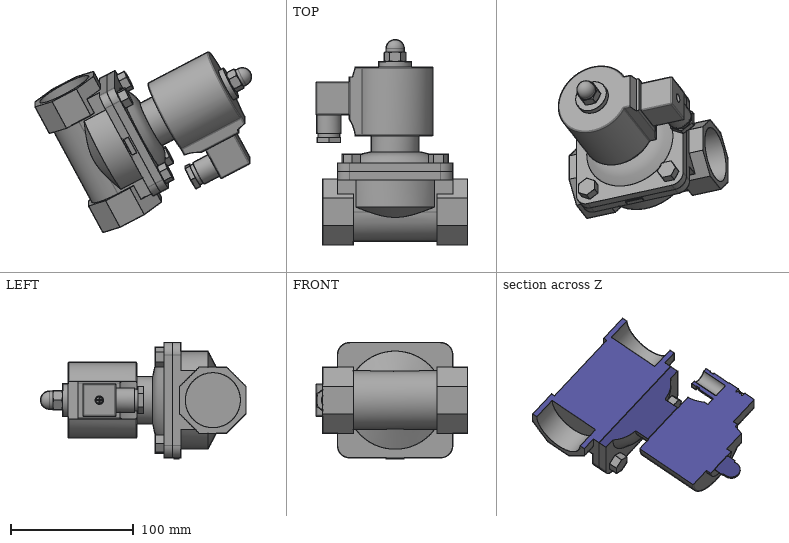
import cadquery as cq
import math


PORT_HALF_LENGTH = 59
PORT_LENGTH = 25
PORT_SIDES = 8
PORT_ACROSS_FLATS = 54
BORE_DIAMETER = 44.84
BORE_DEPTH = 20
PIPE_RADIUS = 24
FLANGE_SIDE = 94
FLANGE_CORNER_RADIUS = 10
FLANGE_THICKNESS = 7
FLANGE_BOTTOM_Y = 26
SHOULDER_BOTTOM_Y = 14.5
BOWL_RADIUS = 40
BOWL_EDGE_Y = 4
BOWL_CONE_HEIGHT = 20.75
LABEL_LENGTH = 14.6
LABEL_WIDTH = 4.2
LABEL_HEIGHT = 1

BONNET_BOTTOM_Y = FLANGE_BOTTOM_Y + FLANGE_THICKNESS
BONNET_TOP_Y = BONNET_BOTTOM_Y + FLANGE_THICKNESS
NECK_RADIUS = 19.5
DOME_HEIGHT = 9
DOME_RADIUS = 38
DOME_ROUND = 28.7

BOLT_ACROSS_CORNERS = 16.2
BOLT_HEAD_HEIGHT = 7
BOLT_OFFSET = 35.2
BOLT_COUNT = 4

COIL_BOTTOM_Y = 62
COIL_LENGTH = 56
COIL_TOP_Y = COIL_BOTTOM_Y + COIL_LENGTH
COIL_RADIUS = 31
COIL_EDGE_ROUND = 1
COIL_COLLAR_DIAMETER = 27
COIL_COLLAR_HEIGHT = 4.45

BLOCK_HALF_WIDTH = 15.2
BLOCK_END_X = -32.5
BLOCK_JOINT_ROUND = 1
SEAT_X = -37.4
SEAT_TOP_Y = 110
SEAT_TOP_ROOT_X = -34.8
SEAT_BOTTOM_Y = 75.6
SEAT_EDGE_ROUND = 1.2
COVE_MIDDLE = (-33.8, 68)

CONNECTOR_END_X = -64.5
CONNECTOR_BOTTOM_Y = 79
CONNECTOR_LENGTH = 27
CONNECTOR_WIDTH = 26.5
CONNECTOR_EDGE_ROUND = 1
SCREW_HOLE_DIAMETER = 6.8
SCREW_HOLE_DEPTH = 3.2
SCREW_HEAD_DIAMETER = 5.5
SCREW_HEAD_HEIGHT = 1.6
SCREW_SLOT_LENGTH = 3.6
SCREW_SLOT_WIDTH = 0.8
SCREW_SLOT_DEPTH = 0.9
SCREW_Y = CONNECTOR_BOTTOM_Y + CONNECTOR_LENGTH / 2

GLAND_X = -54
GLAND_DIAMETER = 20
GLAND_LENGTH = 15
GLAND_NECK_DIAMETER = 18
GLAND_NECK_LENGTH = 3.2
GLAND_HEX_ACROSS_FLATS = 19
GLAND_HEX_LENGTH = 4.4
GLAND_HOLE_DIAMETER = 12

NUT_ACROSS_CORNERS = 18
NUT_HEIGHT = 8
NUT_FACE_DIAMETER = 15.3
NUT_CHAMFER_ANGLE = 30
NUT_DOME_DIAMETER = 15
NUT_DOME_NECK = 2.5
NUT_BOTTOM_Y = COIL_TOP_Y + COIL_COLLAR_HEIGHT


def plane_at(y, x=0, z=0):
    """Workplane across the Y axis: local x is X and local y is Z; a negative extrusion goes up +Y."""
    return cq.Workplane("XZ", origin=(x, y, z))


def cylinder(diameter, bottom_y, height, x=0):
    return plane_at(bottom_y, x).circle(diameter / 2).extrude(-height)


def hexagon(across_corners, bottom_y, height, turn, x=0, z=0):
    """Hexagonal prism along Y; with turn = 0 two of its corners lie on the X direction."""
    prism = plane_at(bottom_y, x, z).polygon(6, across_corners).extrude(-height)
    return prism.rotate((x, 0, z), (x, 1, z), turn)


def square_flange(bottom_y):
    plate = plane_at(bottom_y).rect(FLANGE_SIDE, FLANGE_SIDE).extrude(-FLANGE_THICKNESS)
    return plate.edges("|Y").fillet(FLANGE_CORNER_RADIUS)


def block_between(x_size, bottom_y, top_y, z_size):
    return plane_at(bottom_y).rect(x_size, z_size).extrude(bottom_y - top_y)


def make_bowl():
    """Round diaphragm chamber under the flange, with a conical underside."""
    apex_y = BOWL_EDGE_Y - BOWL_CONE_HEIGHT
    profile = (
        cq.Workplane("XY")
        .moveTo(0, apex_y)
        .lineTo(BOWL_RADIUS, BOWL_EDGE_Y)
        .lineTo(BOWL_RADIUS, FLANGE_BOTTOM_Y)
        .lineTo(0, FLANGE_BOTTOM_Y)
        .close()
    )
    return profile.revolve(360, (0, 0, 0), (0, 1, 0))


def make_body():
    """Pipe body with octagonal threaded-port ends, diaphragm bowl and square flange."""
    port_across_corners = PORT_ACROSS_FLATS / math.cos(math.pi / PORT_SIDES)
    pipe = cq.Workplane("YZ").circle(PIPE_RADIUS).extrude(PORT_HALF_LENGTH, both=True)
    wall_length = 2 * (PORT_HALF_LENGTH - PORT_LENGTH)
    wall = block_between(wall_length, 0, FLANGE_BOTTOM_Y, 2 * PIPE_RADIUS)
    shoulder = block_between(FLANGE_SIDE, SHOULDER_BOTTOM_Y, FLANGE_BOTTOM_Y, 2 * PIPE_RADIUS)
    body = square_flange(FLANGE_BOTTOM_Y).union(pipe).union(wall).union(shoulder).union(make_bowl())
    for side in (-1, 1):
        end_plane = cq.Workplane("YZ", origin=(side * PORT_HALF_LENGTH, 0, 0))
        octagon = end_plane.polygon(PORT_SIDES, port_across_corners).extrude(-side * PORT_LENGTH)
        octagon = octagon.rotate((0, 0, 0), (1, 0, 0), 180 / PORT_SIDES)
        bore = end_plane.circle(BORE_DIAMETER / 2).extrude(-side * BORE_DEPTH)
        body = body.union(octagon).cut(bore)
    label = (
        plane_at(FLANGE_BOTTOM_Y + FLANGE_THICKNESS / 2 - LABEL_WIDTH / 2)
        .center(0, -(FLANGE_SIDE + LABEL_HEIGHT) / 2)
        .rect(LABEL_LENGTH, LABEL_HEIGHT)
        .extrude(-LABEL_WIDTH)
    )
    return body.union(label)


def make_bonnet():
    """Square cover with a rounded dome and the neck that carries the coil."""
    dome_top_y = BONNET_TOP_Y + DOME_HEIGHT
    dome = (
        cq.Workplane("XY")
        .moveTo(0, BONNET_TOP_Y)
        .lineTo(DOME_RADIUS, BONNET_TOP_Y)
        .radiusArc((NECK_RADIUS, dome_top_y), -DOME_ROUND)
        .lineTo(NECK_RADIUS, COIL_BOTTOM_Y)
        .lineTo(0, COIL_BOTTOM_Y)
        .close()
        .revolve(360, (0, 0, 0), (0, 1, 0))
    )
    return square_flange(BONNET_BOTTOM_Y).union(dome)


def make_bolt(index):
    """Hexagon head in one corner of the bonnet, turned with its position round the Y axis."""
    head = hexagon(BOLT_ACROSS_CORNERS, BONNET_TOP_Y, BOLT_HEAD_HEIGHT, 0, BOLT_OFFSET, BOLT_OFFSET)
    return head.rotate((0, 0, 0), (0, 1, 0), 360 / BOLT_COUNT * index)


def make_terminal_block():
    """Block on the coil's -X side, ending in a round-edged seat for the connector."""
    return (
        cq.Workplane("XY", origin=(0, 0, -BLOCK_HALF_WIDTH))
        .moveTo(0, COIL_BOTTOM_Y)
        .lineTo(BLOCK_END_X, COIL_BOTTOM_Y)
        .threePointArc(COVE_MIDDLE, (SEAT_X, SEAT_BOTTOM_Y))
        .lineTo(SEAT_X, SEAT_TOP_Y)
        .lineTo(SEAT_TOP_ROOT_X, SEAT_TOP_Y)
        .lineTo(BLOCK_END_X, COIL_TOP_Y)
        .lineTo(0, COIL_TOP_Y)
        .close()
        .extrude(2 * BLOCK_HALF_WIDTH)
    )


def make_coil_housing():
    drum = cylinder(2 * COIL_RADIUS, COIL_BOTTOM_Y, COIL_LENGTH)
    housing = drum.union(make_terminal_block())
    joint_reach = math.sqrt(COIL_RADIUS**2 - BLOCK_HALF_WIDTH**2)
    for side in (-1, 1):
        joint = cq.selectors.NearestToPointSelector(
            (-joint_reach, COIL_BOTTOM_Y + COIL_LENGTH / 2, side * BLOCK_HALF_WIDTH)
        )
        housing = housing.edges(joint).fillet(BLOCK_JOINT_ROUND)
    housing = housing.faces("<X").edges("|Y").fillet(SEAT_EDGE_ROUND)
    return housing.faces("<Y or >Y").edges("not <X").fillet(COIL_EDGE_ROUND)


def make_connector():
    box = (
        plane_at(CONNECTOR_BOTTOM_Y, (CONNECTOR_END_X + SEAT_X) / 2)
        .rect(SEAT_X - CONNECTOR_END_X, CONNECTOR_WIDTH)
        .extrude(-CONNECTOR_LENGTH)
    )
    box = box.faces("not >X").edges("not >X").fillet(CONNECTOR_EDGE_ROUND)
    hole = (
        cq.Workplane("YZ", origin=(CONNECTOR_END_X, SCREW_Y, 0))
        .circle(SCREW_HOLE_DIAMETER / 2)
        .extrude(SCREW_HOLE_DEPTH)
    )
    return box.cut(hole).union(make_screw_head())


def make_screw_head():
    """Domed cross-slot head on the floor of the connector's screw hole."""
    floor_x = CONNECTOR_END_X + SCREW_HOLE_DEPTH
    top_x = floor_x - SCREW_HEAD_HEIGHT
    head_radius = SCREW_HEAD_DIAMETER / 2
    dome_radius = (head_radius**2 + SCREW_HEAD_HEIGHT**2) / (2 * SCREW_HEAD_HEIGHT)
    head = (
        cq.Workplane("XY")
        .moveTo(floor_x, SCREW_Y)
        .lineTo(floor_x, SCREW_Y + head_radius)
        .radiusArc((top_x, SCREW_Y), -dome_radius)
        .close()
        .revolve(360, (0, SCREW_Y, 0), (1, SCREW_Y, 0))
    )
    slot_plane = cq.Workplane("YZ", origin=(top_x, SCREW_Y, 0))
    for slot_size in ((SCREW_SLOT_LENGTH, SCREW_SLOT_WIDTH), (SCREW_SLOT_WIDTH, SCREW_SLOT_LENGTH)):
        head = head.cut(slot_plane.rect(*slot_size).extrude(SCREW_SLOT_DEPTH))
    return head


def make_gland():
    neck_y = CONNECTOR_BOTTOM_Y - GLAND_LENGTH
    hex_y = neck_y - GLAND_NECK_LENGTH
    end_y = hex_y - GLAND_HEX_LENGTH
    across_corners = GLAND_HEX_ACROSS_FLATS / math.cos(math.pi / 6)
    sleeve = cylinder(GLAND_DIAMETER, neck_y, GLAND_LENGTH, GLAND_X)
    neck = cylinder(GLAND_NECK_DIAMETER, hex_y, GLAND_NECK_LENGTH, GLAND_X)
    nut = hexagon(across_corners, end_y, GLAND_HEX_LENGTH, 30, GLAND_X)
    hole = cylinder(GLAND_HOLE_DIAMETER, end_y, CONNECTOR_BOTTOM_Y - end_y, GLAND_X)
    return sleeve.union(neck).union(nut).cut(hole)


def make_coil():
    collar = cylinder(COIL_COLLAR_DIAMETER, COIL_TOP_Y, COIL_COLLAR_HEIGHT)
    return make_coil_housing().union(collar).union(make_connector()).union(make_gland())


def make_cap_nut():
    """Domed nut whose hexagon corners are turned off at both ends."""
    face_radius = NUT_FACE_DIAMETER / 2
    waist_radius = face_radius + NUT_HEIGHT / 2 / math.tan(math.radians(NUT_CHAMFER_ANGLE))
    top_y = NUT_BOTTOM_Y + NUT_HEIGHT
    double_cone = (
        cq.Workplane("XY")
        .moveTo(0, NUT_BOTTOM_Y)
        .lineTo(face_radius, NUT_BOTTOM_Y)
        .lineTo(waist_radius, NUT_BOTTOM_Y + NUT_HEIGHT / 2)
        .lineTo(face_radius, top_y)
        .lineTo(0, top_y)
        .close()
        .revolve(360, (0, 0, 0), (0, 1, 0))
    )
    nut = hexagon(NUT_ACROSS_CORNERS, NUT_BOTTOM_Y, NUT_HEIGHT, 0).intersect(double_cone)
    dome_radius = NUT_DOME_DIAMETER / 2
    dome_centre_y = top_y + NUT_DOME_NECK
    neck = cylinder(NUT_DOME_DIAMETER, top_y, NUT_DOME_NECK)
    dome = (
        cq.Workplane("XY")
        .moveTo(0, dome_centre_y)
        .lineTo(dome_radius, dome_centre_y)
        .radiusArc((0, dome_centre_y + dome_radius), -dome_radius)
        .close()
        .revolve(360, (0, 0, 0), (0, 1, 0))
    )
    return nut.union(neck).union(dome)


body = make_body()
bonnet = make_bonnet()
bolts = [make_bolt(index) for index in range(BOLT_COUNT)]
coil = make_coil()
cap_nut = make_cap_nut()

parts = [body, bonnet, *bolts, coil, cap_nut]
result = cq.Compound.makeCompound([part.solids().val() for part in parts])